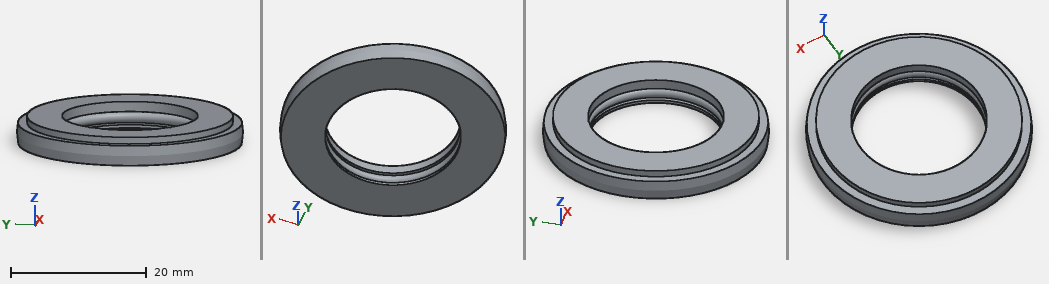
import cadquery as cq

total_height = 4.0
crown_height = 1.5
shoulder_height = 3.0

crown_radius = 16.65
edge_radius = 16.5
raised_face_radius = 15.15

bore_radius = 10.0
groove_height = 2.0
groove_bottom = crown_height - groove_height / 2
groove_top = crown_height + groove_height / 2

seal_section_radius = 0.8
seal_inner_radius = 9.82
seal_center_radius = seal_inner_radius + seal_section_radius
groove_radius = seal_center_radius + seal_section_radius


def make_housing():
    """Revolve the stepped ring with its internal seal groove."""
    return (
        cq.Workplane("XZ")
        .moveTo(bore_radius, 0)
        .lineTo(edge_radius, 0)
        .lineTo(crown_radius, crown_height)
        .lineTo(edge_radius, shoulder_height)
        .lineTo(raised_face_radius, shoulder_height)
        .lineTo(raised_face_radius, total_height)
        .lineTo(bore_radius, total_height)
        .lineTo(bore_radius, groove_top)
        .lineTo(groove_radius, groove_top)
        .lineTo(groove_radius, groove_bottom)
        .lineTo(bore_radius, groove_bottom)
        .close()
        .revolve(360, (0, 0, 0), (0, 1, 0))
    )


def make_seal():
    """Revolve a circular section about the ring axis."""
    return (
        cq.Workplane("XZ")
        .center(seal_center_radius, crown_height)
        .circle(seal_section_radius)
        .revolve(360, (-seal_center_radius, 0, 0), (-seal_center_radius, 1, 0))
    )


housing = make_housing()
seal = make_seal()

result = cq.Compound.makeCompound([housing.val(), seal.val()])